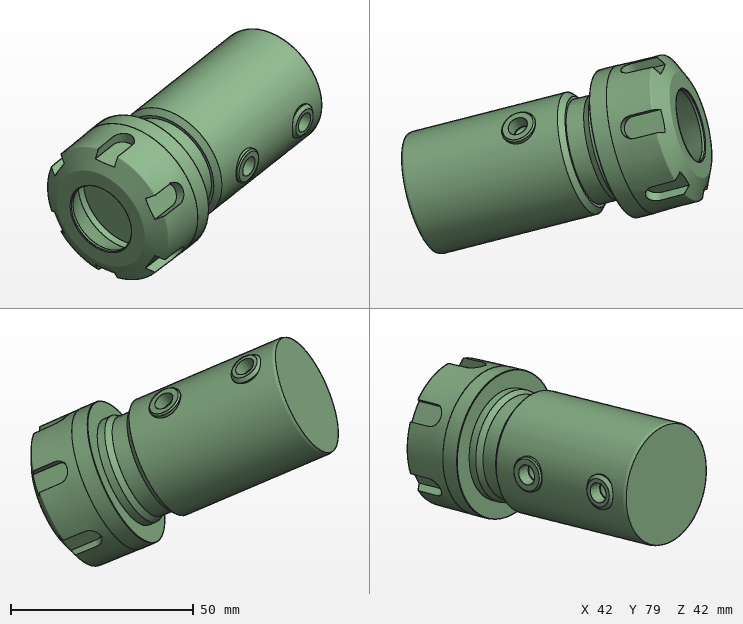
import cadquery as cq
import math

overall_length = 79.0

shank_radius = 17.3
shank_front_y = 30.9
shank_front_chamfer = 1.6
rear_edge_length = 0.8
rear_edge_inset = 0.25

neck_radius = 14.9
neck_end_y = 25.7
collar_radius = 15.85
collar_chamfer_start_y = 23.9

flange_radius = 21.0
flange_rear_y = 21.5
flange_front_y = 16.4
flange_edge_chamfer = 0.15
nut_rear_radius = 20.95
nut_front_radius = 20.75
nose_radius = 15.0
nose_slope = 30.0
nose_length = (nut_front_radius - nose_radius) * math.tan(math.radians(nose_slope))
nose_edge_fillet = 0.5
nose_face_fillet = 0.5

mouth_radius = 10.25
mouth_chamfer = 0.25
mouth_land_end_y = 1.0
bore_widest_radius = 14.5
bore_widest_y = 9.1
bore_floor_radius = 14.0
bore_floor_y = 10.9

slot_count = 6
slot_width = 6.5
slot_floor_radius = 17.9
slot_round_center_y = 10.0

screw_tip_x = 18.0
screw_length = 8.0
front_screw_y = 44.0
rear_screw_y = 69.7
screw_diameter = 10.0
front_screw_chamfer = 0.45
rear_screw_chamfer = 1.0
set_screws = [
    (-1, front_screw_y, front_screw_chamfer),
    (1, front_screw_y, front_screw_chamfer),
    (1, rear_screw_y, rear_screw_chamfer),
]

socket_flat_count = 24
socket_radius = 2.85
drill_point_radius = 2.6
socket_depth = 4.0
drill_point_length = 1.5


def revolve_about_y(points):
    """Turn a (radius, y) outline about the Y axis."""
    return cq.Workplane("XY").polyline(points).close().revolve(360, (0, 0, 0), (0, 1, 0))


def make_shank():
    return revolve_about_y([
        (0, collar_chamfer_start_y),
        (neck_radius, collar_chamfer_start_y),
        (neck_radius, shank_front_y),
        (shank_radius - shank_front_chamfer, shank_front_y),
        (shank_radius, shank_front_y + shank_front_chamfer),
        (shank_radius, overall_length - rear_edge_length),
        (shank_radius - rear_edge_inset, overall_length),
        (0, overall_length),
    ])


def make_collar():
    return revolve_about_y([
        (0, flange_front_y),
        (collar_radius, flange_front_y),
        (collar_radius, collar_chamfer_start_y),
        (neck_radius, neck_end_y),
        (0, neck_end_y),
    ])


def edge_zone(y):
    """Select the edges of the nut that lie at the given Y."""
    half_thickness = 0.1
    return cq.selectors.BoxSelector(
        (-flange_radius, y - half_thickness, -flange_radius),
        (flange_radius, y + half_thickness, flange_radius),
        boundingbox=True,
    )


def make_nut():
    nut = revolve_about_y([
        (0, 0),
        (nose_radius, 0),
        (nut_front_radius, nose_length),
        (nut_rear_radius, flange_front_y),
        (flange_radius, flange_front_y),
        (flange_radius, flange_rear_y - flange_edge_chamfer),
        (flange_radius - flange_edge_chamfer, flange_rear_y),
        (0, flange_rear_y),
    ])
    nut = nut.edges(edge_zone(nose_length)).fillet(nose_edge_fillet)
    return nut.edges(edge_zone(0)).fillet(nose_face_fillet)


def make_bore():
    return revolve_about_y([
        (0, 0),
        (mouth_radius + mouth_chamfer, 0),
        (mouth_radius, mouth_chamfer),
        (mouth_radius, mouth_land_end_y),
        (bore_widest_radius, bore_widest_y),
        (bore_floor_radius, bore_floor_y),
        (0, bore_floor_y),
    ])


def make_slot():
    """Slot on the +Z side, open at the nose and round at its inner end."""
    half_width = slot_width / 2
    return (
        cq.Workplane("XY", origin=(0, 0, slot_floor_radius))
        .moveTo(-half_width, 0)
        .lineTo(half_width, 0)
        .lineTo(half_width, slot_round_center_y)
        .threePointArc((0, slot_round_center_y + half_width), (-half_width, slot_round_center_y))
        .close()
        .extrude(flange_radius - slot_floor_radius)
    )


def screw_plane(side, y):
    """Plane on the outer face of a screw, facing out of the part."""
    return cq.Plane(origin=(side * screw_tip_x, y, 0), xDir=(0, side, 0), normal=(side, 0, 0))


def make_screw(side, y, chamfer):
    return (
        cq.Workplane(screw_plane(side, y))
        .circle(screw_diameter / 2)
        .extrude(-screw_length)
        .faces(">X" if side > 0 else "<X")
        .chamfer(chamfer)
    )


def make_socket(side, y):
    socket = (
        cq.Workplane(screw_plane(side, y))
        .polygon(socket_flat_count, 2 * socket_radius)
        .extrude(-socket_depth)
    )
    drill_point = cq.Solid.makeCone(
        drill_point_radius,
        0,
        drill_point_length,
        cq.Vector(side * (screw_tip_x - socket_depth), y, 0),
        cq.Vector(-side, 0, 0),
    )
    return socket.union(cq.Workplane(drill_point))


result = make_shank().union(make_collar()).union(make_nut()).cut(make_bore())

slot = make_slot()
for index in range(slot_count):
    result = result.cut(slot.rotate((0, 0, 0), (0, 1, 0), index * 360 / slot_count))

for side, y, chamfer in set_screws:
    result = result.union(make_screw(side, y, chamfer))
    result = result.cut(make_socket(side, y))